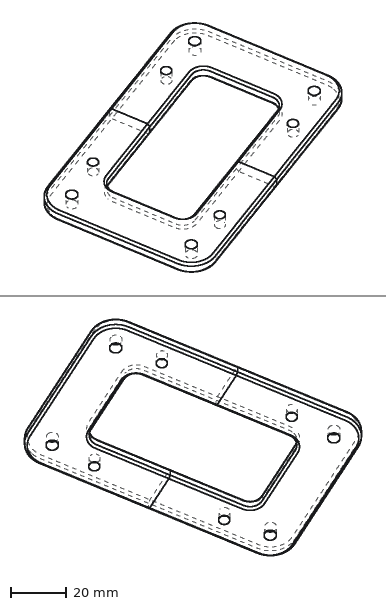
import cadquery as cq

LENGTH = 109.0
WIDTH = 70.0
THICKNESS = 5.0
CORNER_RADIUS = 10.0
EDGE_CHAMFER = 1.0

WINDOW_WIDTH = 36.0
WINDOW_LENGTH = 70.0
WINDOW_RADIUS = CORNER_RADIUS / 2

CORNER_HOLE_DIAMETER = 4.5
CORNER_HOLE_SPACING_X = WIDTH - 2 * CORNER_RADIUS
CORNER_HOLE_SPACING_Y = LENGTH - 2 * CORNER_RADIUS

INNER_HOLE_DIAMETER = 4.0
INNER_HOLE_SPACING = 53.0


def rounded_block(width, length, radius):
    return cq.Workplane("XY").box(width, length, THICKNESS).edges("|Z").fillet(radius)


def chamfered_frame():
    """Plate with its window, chamfered along every edge of the top and bottom faces."""
    plate = rounded_block(WIDTH, LENGTH, CORNER_RADIUS)
    window = rounded_block(WINDOW_WIDTH, WINDOW_LENGTH, WINDOW_RADIUS)
    return plate.cut(window).faces("<Z or >Z").edges().chamfer(EDGE_CHAMFER)


def drill_rectangle(frame, spacing_x, spacing_y, diameter):
    top = frame.faces(">Z").workplane(origin=(0, 0, 0))
    return top.rarray(spacing_x, spacing_y, 2, 2).hole(diameter)


def frame_half(side):
    """Half of the frame on the -Y (side = -1) or +Y (side = 1) side of the joint."""
    frame = chamfered_frame()
    frame = drill_rectangle(frame, CORNER_HOLE_SPACING_X, CORNER_HOLE_SPACING_Y, CORNER_HOLE_DIAMETER)
    frame = drill_rectangle(frame, INNER_HOLE_SPACING, INNER_HOLE_SPACING, INNER_HOLE_DIAMETER)
    half_space = cq.Workplane("XY").box(WIDTH, LENGTH / 2, THICKNESS).translate((0, side * LENGTH / 4, 0))
    return frame.intersect(half_space)


frame_halves = [frame_half(side).val() for side in (-1, 1)]

result = cq.Compound.makeCompound(frame_halves)